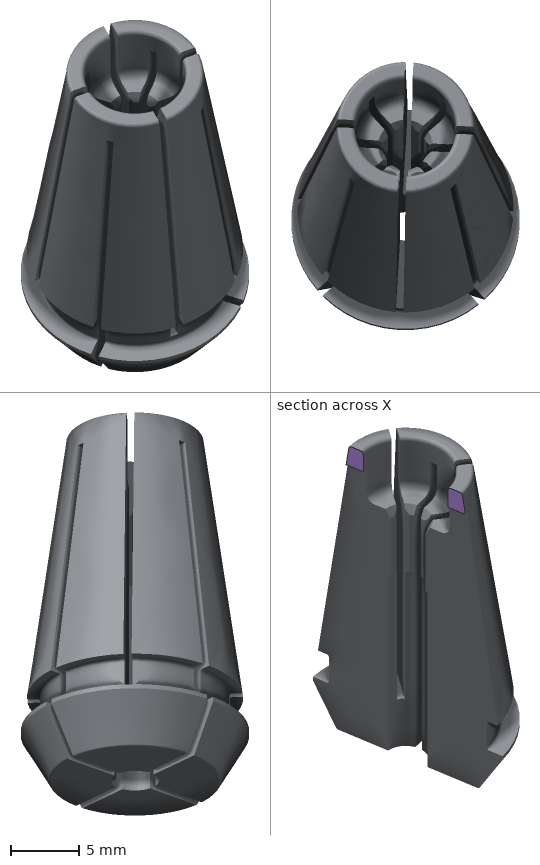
import cadquery as cq
import math

length = 27.5
rim_diameter = 16.8
rim_radius = rim_diameter / 2

flange_top = 4.0
rim_bottom = 3.65
flange_half_angle = 30.0
end_edge_radius = 0.16

groove_radius = 6.98
groove_fillet = 0.2

cone_base = 6.65
cone_base_radius = 7.95
cone_half_angle = 8.0
tip_edge_radius = 0.28

relief_radius = 3.7
relief_floor = 22.65
relief_floor_fillet = 0.77
relief_mouth_fillet = 0.33

lead_in_radius = 2.0
lead_in_half_angle = 30.0
pilot_radius = 1.6
square_side = 2.95

shank_radius = 1.75
shank_depth = 16.5

slot_width = 0.6
nut_end_slot_top = 25.58
tip_slot_floor = 4.48
slot_span = 2 * rim_radius + slot_width

pick_margin = 0.03


def tangent(degrees):
    return math.tan(math.radians(degrees))


def cylinder(radius, bottom, top):
    return cq.Workplane("XY", origin=(0, 0, bottom)).circle(radius).extrude(top - bottom)


def block(size_x, size_y, bottom, top):
    return cq.Workplane("XY", origin=(0, 0, bottom)).rect(size_x, size_y).extrude(top - bottom)


def turned_body():
    """Flange, groove and clamping cone, without any bores."""
    end_radius = rim_radius - rim_bottom * tangent(flange_half_angle)
    tip_radius = cone_base_radius - (length - cone_base) * tangent(cone_half_angle)
    body = (
        cq.Workplane("XZ")
        .lineTo(end_radius, 0)
        .lineTo(rim_radius, rim_bottom)
        .lineTo(rim_radius, flange_top)
        .lineTo(groove_radius, flange_top)
        .lineTo(groove_radius, cone_base)
        .lineTo(cone_base_radius, cone_base)
        .lineTo(tip_radius, length)
        .lineTo(0, length)
        .close()
        .revolve(360, (0, 0, 0), (0, 1, 0))
    )
    body = body.faces(">Z").edges().fillet(tip_edge_radius)
    body = body.faces("<Z").edges().fillet(end_edge_radius)

    reach = groove_radius + pick_margin
    groove_corners = cq.selectors.BoxSelector(
        (-reach, -reach, flange_top - pick_margin),
        (reach, reach, cone_base + pick_margin),
        boundingbox=True,
    )
    return body.edges(groove_corners).fillet(groove_fillet)


def relief_bore():
    """Wide bore in the small end, with a rounded floor corner."""
    bore = cylinder(relief_radius, relief_floor, length)
    return bore.faces("<Z").edges().fillet(relief_floor_fillet)


def drive_recess():
    """Square drive hole with its round pilot and conical lead-in."""
    lead_in_height = (lead_in_radius - pilot_radius) / tangent(lead_in_half_angle)
    lead_in_bottom = cq.Vector(0, 0, relief_floor - lead_in_height)
    lead_in = cq.Solid.makeCone(pilot_radius, lead_in_radius, lead_in_height, pnt=lead_in_bottom)

    pilot = cylinder(pilot_radius, shank_depth, relief_floor)
    square = block(square_side, square_side, shank_depth, relief_floor)
    square = square.intersect(cylinder(lead_in_radius, shank_depth, relief_floor))
    return pilot.union(square).union(cq.Workplane(lead_in))


def cross_slots(bottom, top, angle):
    """Two perpendicular slots through the axis, turned by angle about Z."""
    cross = block(slot_span, slot_width, bottom, top)
    cross = cross.union(block(slot_width, slot_span, bottom, top))
    return cross.rotate((0, 0, 0), (0, 0, 1), angle)


body = turned_body()

body = body.cut(relief_bore())
relief_mouth = cq.selectors.RadiusNthSelector(0)
body = body.faces(">Z").edges(relief_mouth).fillet(relief_mouth_fillet)
body = body.cut(drive_recess())
body = body.cut(cylinder(shank_radius, 0, shank_depth))

body = body.cut(cross_slots(0, nut_end_slot_top, 0))
body = body.cut(cross_slots(tip_slot_floor, length, 45))

result = body